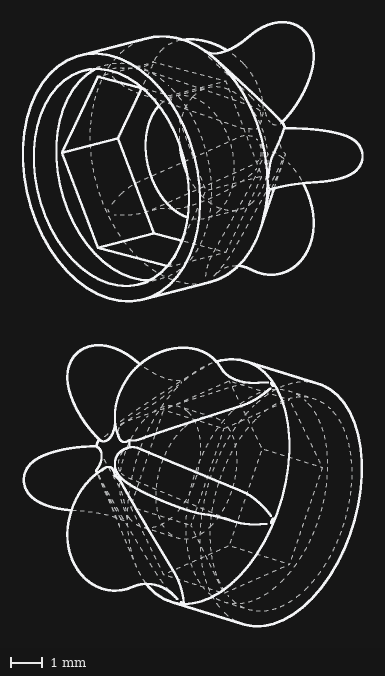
import cadquery as cq
import math

body_radius = 3.995
body_length = 3.0
nose_tip_radius = 0.88
nose_end = 7.0

rim_radius = 3.5
rim_depth = 1.0
hex_corner_diameter = 6.48
hex_end = 3.5
bore_radius = 2.0
bore_end = 5.0

wing_count = 5
bead_radius = 0.5
lobe_r = 2.495
lobe_y = 6.2
lobe_outer_radius = 4.295 - lobe_r
crown_outer_radius = 2.495
neck_outer_r = 3.665
neck_y = 4.1
crown_start_r = 0.6
neck_end_y = 2.8


def on_circle(center, radius, angle):
    return (center[0] + radius * math.cos(angle), center[1] + radius * math.sin(angle))


def make_body():
    cylinder = cq.Workplane("XZ").circle(body_radius).extrude(-body_length)
    nose_profile = (
        cq.Workplane("XY")
        .moveTo(0, body_length)
        .lineTo(body_radius, body_length)
        .lineTo(nose_tip_radius, nose_end)
        .lineTo(0, nose_end)
        .close()
    )
    nose = nose_profile.revolve(360, (0, 0, 0), (0, 1, 0))
    return cylinder.union(nose)


def make_socket():
    rim = cq.Workplane("XZ").circle(rim_radius).extrude(-rim_depth)
    hexagon = cq.Workplane("XZ").polygon(6, hex_corner_diameter).extrude(-hex_end)
    bore = cq.Workplane("XZ").circle(bore_radius).extrude(-bore_end)
    return rim.union(hexagon).union(bore)


def wing_edge():
    """Bead centreline: crown arc, lobe arc and concave neck arc, each tangent to the next."""
    lobe_radius = lobe_outer_radius - bead_radius
    crown_radius = crown_outer_radius - bead_radius
    neck_r = neck_outer_r - bead_radius

    rise = lobe_y - neck_y
    run = neck_r - lobe_r
    neck_radius = (run**2 + rise**2 - lobe_radius**2) / (2 * (lobe_radius - run))
    neck_center = (neck_r + neck_radius, neck_y)
    lobe_center = (lobe_r, lobe_y)
    lobe_end_angle = -math.asin(rise / (lobe_radius + neck_radius))

    crown_center = (lobe_r, lobe_y + lobe_radius - crown_radius)
    crown_start_angle = math.acos((crown_start_r - lobe_r) / crown_radius)
    crown_mid_angle = (crown_start_angle + math.pi / 2) / 2
    lobe_mid_angle = (math.pi / 2 + lobe_end_angle) / 2
    neck_end_angle = math.pi + math.asin((neck_y - neck_end_y) / neck_radius)

    return (
        cq.Workplane("XY")
        .moveTo(*on_circle(crown_center, crown_radius, crown_start_angle))
        .threePointArc(
            on_circle(crown_center, crown_radius, crown_mid_angle),
            (lobe_r, lobe_y + lobe_radius),
        )
        .threePointArc(
            on_circle(lobe_center, lobe_radius, lobe_mid_angle),
            on_circle(lobe_center, lobe_radius, lobe_end_angle),
        )
        .threePointArc(
            (neck_r, neck_y),
            on_circle(neck_center, neck_radius, neck_end_angle),
        )
    )


def make_wing():
    plate_outline = wing_edge().lineTo(0, neck_end_y).lineTo(0, nose_end - bead_radius).close()
    plate = plate_outline.extrude(bead_radius, both=True)

    path = wing_edge().wire()
    path_wire = path.val()
    start_plane = cq.Plane(origin=path_wire.startPoint(), normal=path_wire.tangentAt(0))
    bead = cq.Workplane(start_plane).circle(bead_radius).sweep(path)
    return plate.union(bead)


part = make_body()
wing = make_wing()
for index in range(wing_count):
    angle = index * 360 / wing_count
    part = part.union(wing.rotate((0, 0, 0), (0, 1, 0), angle))

result = part.cut(make_socket())